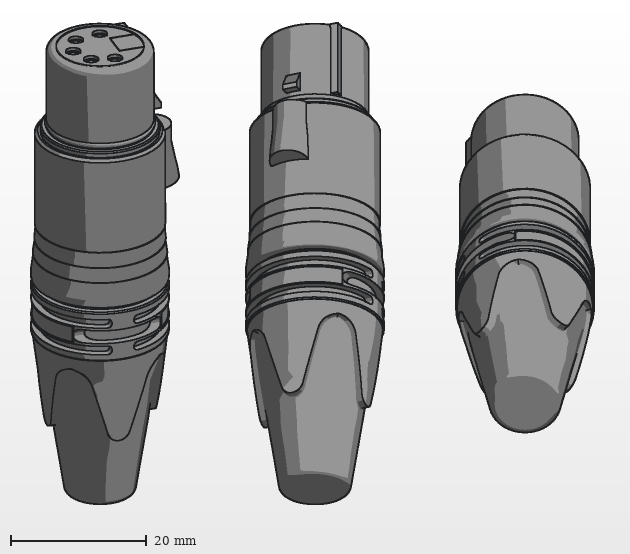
import cadquery as cq
import math

total_height = 73.5
max_diameter = 20.35
max_radius = max_diameter / 2
cut_clearance = 0.7
match_tolerance = 0.04

nose_radius = 7.95
nose_rounding = 1.0
seal_bottom = 60.6
seal_top = 61.45
seal_bulge = 0.2
collar_radius = 8.8
collar_top = 60.4
collar_chamfer = 0.2

barrel_radius = 9.6
barrel_top = 59.5
barrel_bottom = 44.2
barrel_chamfer = 0.45
band_joints = (41.7, 39.3)
band_step = 0.11
taper_top_radius = 9.5
taper_bottom = 36.5
housing_bottom = 35.3
edge_rounding = 0.3

neck_radius = 9.05
ring_top = 34.55
ring_bottom = 26.45
ring_chamfer = 0.2
slot_height = 1.4
slot_centres = (32.7, 28.3)
bridge_half_width = 1.7
window_centre = 30.5
window_height = 2.1
window_inner_x = 7.4
panel_height = 2.6
panel_recess = 0.15

petal_top_radius = 10.0
petal_tip_radius = 8.3
petal_tip = 12.2
core_step_radius = 7.1
core_end_radius = 5.2
boot_rounding = 0.9
tip_arc_radius = 1.8
arch_radius = 3.7
arch_half_width = 7.8
petal_root_fillet = 0.3
arch_top = 24.6

face_radius = 6.5
face_recess = 0.15
contact_circle_radius = 4.2
contact_angles = (12, -38, -90, -142, -199)
contact_entry_radius = 1.1
contact_bore_radius = 0.65
contact_entry_depth = 0.5
contact_bore_depth = 7.35
latch_plate_half_width = 2.1
latch_plate_front = 2.3
latch_plate_back = 6.9
latch_plate_recess = 0.1

key_outer_x = -6.3
key_inner_x = -5.1
key_outer_y = 6.0
key_inner_y = 4.0
key_bottom = 61.75
key_top = 73.2

tooth_half_width = 1.1
tooth_top = 65.05
tooth_peak = 63.0
tooth_bottom = 62.2
tooth_reach = 9.2
lever_radius = 2.95
lever_sections = ((49.25, 12.35), (51.7, 12.0), (53.9, 11.5), (56.4, 10.95), (59.3, 10.95))
lever_low_edge = (12.2, 50.4)
lever_root_edge = (8.8, 49.75)


def revolved(profile):
    """Turn an XZ outline that starts and ends on the axis about Z."""
    return profile.close().revolve(360, (0, 0, 0), (0, 1, 0))


def turned_disc(radius, bottom, top):
    return cq.Workplane("XY").workplane(offset=bottom).circle(radius).extrude(top - bottom)


def tube(outer, inner, bottom, top):
    return turned_disc(outer, bottom, top).cut(turned_disc(inner, bottom, top))


def housing():
    """Nose, seal, collar, barrel, banded taper and neck as one turned body."""
    def taper_radius(z):
        drop = (barrel_bottom - z) / (barrel_bottom - taper_bottom)
        return taper_top_radius + drop * (max_radius - taper_top_radius)

    profile = (
        cq.Workplane("XZ")
        .moveTo(0, ring_bottom)
        .lineTo(neck_radius, ring_bottom)
        .lineTo(neck_radius, housing_bottom)
        .lineTo(max_radius - edge_rounding, housing_bottom)
        .radiusArc((max_radius, housing_bottom + edge_rounding), -edge_rounding)
        .lineTo(max_radius, taper_bottom)
    )
    for joint in reversed(band_joints):
        profile = profile.lineTo(taper_radius(joint) - band_step, joint)
        profile = profile.lineTo(taper_radius(joint), joint)
    profile = (
        profile.lineTo(taper_top_radius, barrel_bottom)
        .lineTo(barrel_radius, barrel_bottom)
        .lineTo(barrel_radius, barrel_top - barrel_chamfer)
        .lineTo(barrel_radius - barrel_chamfer, barrel_top)
        .lineTo(collar_radius, barrel_top)
        .lineTo(collar_radius, collar_top - collar_chamfer)
        .lineTo(collar_radius - collar_chamfer, collar_top)
        .lineTo(nose_radius, collar_top)
        .lineTo(nose_radius, seal_bottom)
        .threePointArc(
            (nose_radius + seal_bulge, (seal_bottom + seal_top) / 2),
            (nose_radius, seal_top),
        )
        .lineTo(nose_radius, total_height - nose_rounding)
        .radiusArc((nose_radius - nose_rounding, total_height), -nose_rounding)
        .lineTo(0, total_height)
    )
    return revolved(profile)


def slotted_ring():
    """Ring with two long slots per side, a side window and recessed front and back panels."""
    ring = turned_disc(max_radius, ring_bottom, ring_top).faces("|Z").chamfer(ring_chamfer)
    cut_band = tube(max_radius + cut_clearance, neck_radius, ring_bottom, ring_top)

    def slot_prism(plane, start, centre_z, height):
        """Two mirrored prisms, rounded at the start distance and open outwards."""
        length = 2 * max_radius
        centre = start + length / 2
        return (
            cq.Workplane(plane)
            .pushPoints([(centre, centre_z), (-centre, centre_z)])
            .slot2D(length, height)
            .extrude(max_radius, both=True)
        )

    for centre_z in slot_centres:
        ring = ring.cut(cut_band.intersect(slot_prism("YZ", bridge_half_width, centre_z, slot_height)))
    ring = ring.cut(cut_band.intersect(slot_prism("XZ", window_inner_x, window_centre, window_height)))

    panel_skin = tube(
        max_radius + cut_clearance,
        max_radius - panel_recess,
        window_centre - panel_height / 2,
        window_centre + panel_height / 2,
    )
    panel_span = cq.Workplane("XY").box(2 * window_inner_x, 4 * max_radius, 2 * total_height)
    return ring.cut(panel_skin.intersect(panel_span))


def boot():
    """Tapered core with four petals; the gaps between petals end in arches."""
    core_slope = (core_step_radius - core_end_radius) / petal_tip
    core = revolved(
        cq.Workplane("XZ")
        .lineTo(core_end_radius, 0)
        .lineTo(core_end_radius + core_slope * ring_bottom, ring_bottom)
        .lineTo(0, ring_bottom)
    )
    core = core.faces("<Z").edges().fillet(boot_rounding)

    sleeve = revolved(
        cq.Workplane("XZ")
        .moveTo(0, petal_tip)
        .lineTo(petal_tip_radius, petal_tip)
        .lineTo(petal_top_radius, ring_bottom)
        .lineTo(0, ring_bottom)
    )

    rise = (arch_top - arch_radius) - (petal_tip + tip_arc_radius)
    centre_distance = math.hypot(arch_half_width, rise)
    flank_angle = math.atan2(rise, arch_half_width)
    flank_angle += math.asin((tip_arc_radius + arch_radius) / centre_distance)
    across = math.sin(flank_angle)
    along = 1 - math.cos(flank_angle)
    tip_end = (tip_arc_radius * across, petal_tip + tip_arc_radius * along)
    arch_start = (arch_half_width - arch_radius * across, arch_top - arch_radius * along)

    def petal_prism(plane):
        half = (
            cq.Workplane(plane)
            .moveTo(0, petal_tip)
            .radiusArc(tip_end, -tip_arc_radius)
            .lineTo(*arch_start)
            .radiusArc((arch_half_width, arch_top), arch_radius)
            .lineTo(max_radius, arch_top)
            .lineTo(max_radius, ring_bottom)
            .lineTo(0, ring_bottom)
            .close()
            .extrude(max_radius, both=True)
        )
        return half.union(half.mirror("YZ" if plane == "XZ" else "XZ"))

    petals = sleeve.intersect(petal_prism("XZ").union(petal_prism("YZ")))
    body = core.union(petals)

    def is_petal_root(edge):
        """True where a petal wall meets the core below the arches."""
        middle = edge.positionAt(0.5)
        core_radius = core_end_radius + core_slope * middle.z
        on_core = abs(math.hypot(middle.x, middle.y) - core_radius) < match_tolerance
        return on_core and middle.z > boot_rounding

    roots = [edge for edge in body.edges().vals() if is_petal_root(edge)]
    return body.newObject(roots).fillet(petal_root_fillet)


def key():
    """Square-cornered rib standing out of the nose."""
    return (
        cq.Workplane("XY")
        .workplane(offset=key_bottom)
        .moveTo(key_outer_x, key_inner_y)
        .rect(key_inner_x - key_outer_x, key_outer_y - key_inner_y, centered=False)
        .extrude(key_top - key_bottom)
    )


def latch_tooth():
    return (
        cq.Workplane("YZ")
        .moveTo(0, tooth_top)
        .lineTo(nose_radius, tooth_top)
        .lineTo(tooth_reach, tooth_peak)
        .lineTo(tooth_reach, tooth_bottom)
        .lineTo(0, tooth_bottom)
        .close()
        .extrude(tooth_half_width, both=True)
    )


def push_lever():
    """Rounded lever that swells towards its lower end, trimmed by a sloping face."""
    sections = cq.Workplane("XY")
    level = 0
    for z, reach in lever_sections:
        sections = sections.workplane(offset=z - level)
        sections = sections.moveTo(0, reach - lever_radius).circle(lever_radius)
        level = z
    lever = sections.loft(ruled=True)
    slope = (lever_low_edge[1] - lever_root_edge[1]) / (lever_low_edge[0] - lever_root_edge[0])
    outside = lever_low_edge[0] + cut_clearance
    trim = (
        cq.Workplane("YZ")
        .moveTo(0, 0)
        .lineTo(0, lever_root_edge[1] - slope * lever_root_edge[0])
        .lineTo(outside, lever_low_edge[1] + slope * cut_clearance)
        .lineTo(outside, 0)
        .close()
        .extrude(2 * lever_radius, both=True)
    )
    return lever.cut(trim)


def face_cuts():
    """Recessed contact face, latch plate outline and five stepped contact holes."""
    floor = total_height - face_recess
    cuts = turned_disc(face_radius, floor, total_height)
    plate = (
        cq.Workplane("XY")
        .workplane(offset=floor - latch_plate_recess)
        .moveTo(-latch_plate_half_width, latch_plate_front)
        .rect(2 * latch_plate_half_width, latch_plate_back - latch_plate_front, centered=False)
        .extrude(2 * latch_plate_recess)
        .intersect(turned_disc(face_radius, floor - cut_clearance, total_height))
    )
    cuts = cuts.union(plate)
    for angle in contact_angles:
        x = contact_circle_radius * math.cos(math.radians(angle))
        y = contact_circle_radius * math.sin(math.radians(angle))
        entry = turned_disc(contact_entry_radius, floor - contact_entry_depth, total_height)
        bore = turned_disc(contact_bore_radius, floor - contact_bore_depth, total_height)
        cuts = cuts.union(entry.union(bore).translate((x, y, 0)))
    return cuts


result = (
    housing()
    .union(slotted_ring())
    .union(boot())
    .union(key())
    .union(latch_tooth())
    .union(push_lever())
    .cut(face_cuts())
)